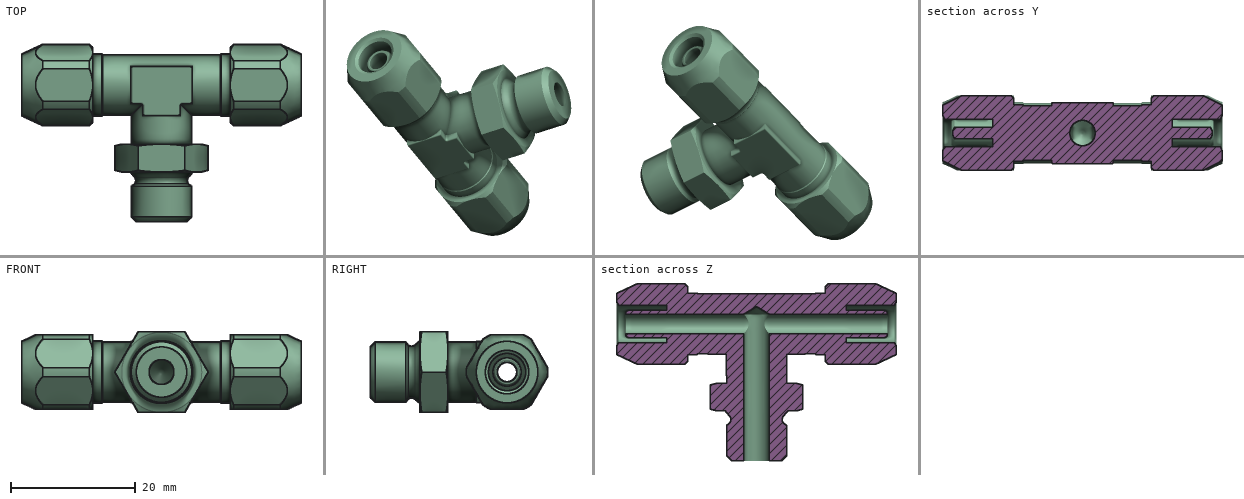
import cadquery as cq
import math


run_length = 45.0
branch_reach = 22.0
body_radius = 4.87

nut_length = 11.45
nut_flats = 12.0
nut_corner_radius = 6.55
nut_mouth_radius = 4.95
nut_cone_angle = 25.0
nut_back_chamfer = nut_corner_radius - nut_flats / 2

collar_length = 1.6
collar_radius = 5.0
collar_chamfer = collar_radius - body_radius

pad_half_height = 4.95
pad_half_width = 4.95
pad_neck_half_width = 3.05
pad_edge_fillet = 0.2
pad_corner_fillet = 0.3

hex_flats = 13.0
hex_back = 9.5
hex_front = 14.0
hex_face_radius = 6.44
hex_chamfer_angle = 15.0

flare_radius = 5.05
undercut_start = 14.84
undercut_end = 15.9
undercut_edge_radius = 4.34
undercut_radius = 4.17
thread_start = 16.3
thread_chamfer = 0.82

socket_radius = 3.0
socket_depth = 8.0
countersink_radius = 3.5
countersink_depth = 0.3
sleeve_setback = 1.45
sleeve_radius = 2.28
sleeve_tip_radius = 1.97
sleeve_taper_length = 0.5
sleeve_tip_fillet = 0.1

run_bore_radius = 1.55
branch_bore_radius = 2.0
drill_point_angle = 118.0


def turned_on_run(profile):
    """Revolve (x, radius) points about the X axis."""
    return cq.Workplane("XY").polyline(profile).close().revolve(360, (0, 0, 0), (1, 0, 0))


def turned_on_branch(profile):
    """Revolve (radius, distance toward -Y) points about the Y axis."""
    points = [(radius, -distance) for radius, distance in profile]
    return cq.Workplane("XY").polyline(points).close().revolve(360, (0, 0, 0), (0, 1, 0))


def hexagon_across_corners(flats):
    return flats / math.cos(math.pi / 6)


def make_nut():
    """Nut at the +X end, with flats facing +Z and -Z."""
    outer_end = run_length / 2
    inner_end = outer_end - nut_length
    cone_length = (nut_corner_radius - nut_mouth_radius) / math.tan(math.radians(nut_cone_angle))
    envelope = turned_on_run([
        (inner_end, 0),
        (inner_end, nut_corner_radius - nut_back_chamfer),
        (inner_end + nut_back_chamfer, nut_corner_radius),
        (outer_end - cone_length, nut_corner_radius),
        (outer_end, nut_mouth_radius),
        (outer_end, 0),
    ])
    prism = (
        cq.Workplane("YZ", origin=(inner_end, 0, 0))
        .polygon(6, hexagon_across_corners(nut_flats))
        .extrude(nut_length)
    )
    return prism.intersect(envelope)


def make_run_tube():
    """Round tube body reaching from nut to nut."""
    tube_length = run_length - 2 * nut_length
    return cq.Workplane("YZ", origin=(-tube_length / 2, 0, 0)).circle(body_radius).extrude(tube_length)


def make_collar():
    """Collar just inside the nut at the +X end."""
    collar_end = run_length / 2 - nut_length
    collar_start = collar_end - collar_length
    return turned_on_run([
        (collar_start, 0),
        (collar_start, body_radius),
        (collar_start + collar_chamfer, collar_radius),
        (collar_end, collar_radius),
        (collar_end, 0),
    ])


def make_pads():
    """T-shaped block whose top and bottom stand proud of the round body."""
    run_arm = cq.Workplane("XY").box(2 * pad_half_width, 2 * pad_neck_half_width, 2 * pad_half_height)
    branch_arm = (
        cq.Workplane("XY")
        .box(2 * pad_neck_half_width, pad_half_width, 2 * pad_half_height)
        .translate((0, -pad_half_width / 2, 0))
    )
    inner_corner = pad_neck_half_width
    pads = run_arm.union(branch_arm)
    for side in (-1, 1):
        corner = cq.selectors.NearestToPointSelector((side * inner_corner, -inner_corner, 0))
        pads = pads.edges("|Z").edges(corner).fillet(pad_corner_fillet)
    return pads.faces("|Z").edges().fillet(pad_edge_fillet)


def make_branch_hexagon():
    """Hexagon with flats facing +Z and -Z and chamfered corners at both ends."""
    corner_radius = hexagon_across_corners(hex_flats) / 2
    chamfer_depth = (corner_radius - hex_face_radius) * math.tan(math.radians(hex_chamfer_angle))
    envelope = turned_on_branch([
        (0, hex_back),
        (hex_face_radius, hex_back),
        (corner_radius, hex_back + chamfer_depth),
        (corner_radius, hex_front - chamfer_depth),
        (hex_face_radius, hex_front),
        (0, hex_front),
    ])
    prism = (
        cq.Workplane("XZ", origin=(0, -hex_back, 0))
        .polygon(6, 2 * corner_radius)
        .extrude(hex_front - hex_back)
    )
    return prism.intersect(envelope)


def make_branch_shank():
    """Round branch from the run axis to the chamfered threaded end."""
    undercut_middle = (undercut_start + undercut_end) / 2
    profile = (
        cq.Workplane("XY")
        .lineTo(body_radius, 0)
        .lineTo(body_radius, -hex_front)
        .lineTo(flare_radius, -hex_front)
        .lineTo(undercut_edge_radius, -undercut_start)
        .threePointArc((undercut_radius, -undercut_middle), (undercut_edge_radius, -undercut_end))
        .lineTo(body_radius, -thread_start)
        .lineTo(body_radius, -branch_reach + thread_chamfer)
        .lineTo(body_radius - thread_chamfer, -branch_reach)
        .lineTo(0, -branch_reach)
        .close()
    )
    return profile.revolve(360, (0, 0, 0), (0, 1, 0))


def make_socket():
    """Ring-shaped cavity of the +X nut, leaving the insert sleeve standing inside."""
    mouth = run_length / 2
    sleeve_tip = mouth - sleeve_setback
    bore = turned_on_run([
        (mouth - socket_depth, 0),
        (mouth - socket_depth, socket_radius),
        (mouth - countersink_depth, socket_radius),
        (mouth, countersink_radius),
        (mouth, 0),
    ])
    sleeve = turned_on_run([
        (mouth - socket_depth, run_bore_radius),
        (mouth - socket_depth, sleeve_radius),
        (sleeve_tip - sleeve_taper_length, sleeve_radius),
        (sleeve_tip, sleeve_tip_radius),
        (sleeve_tip, run_bore_radius),
    ])
    return bore.cut(sleeve.faces(">X").edges().fillet(sleeve_tip_fillet))


def make_run_bore():
    """Straight bore through the whole run and both sleeves."""
    return cq.Workplane("YZ", origin=(-run_length / 2, 0, 0)).circle(run_bore_radius).extrude(run_length)


def make_branch_bore():
    """Drilled hole that crosses the run bore and ends in a drill point."""
    point_length = branch_bore_radius / math.tan(math.radians(drill_point_angle / 2))
    full_radius_end = -run_bore_radius
    return turned_on_branch([
        (0, full_radius_end - point_length),
        (branch_bore_radius, full_radius_end),
        (branch_bore_radius, branch_reach),
        (0, branch_reach),
    ])


def on_both_ends(half):
    return half.union(half.mirror("YZ"))


body = make_run_tube().union(on_both_ends(make_collar().union(make_nut())))
for feature in (make_branch_shank(), make_branch_hexagon(), make_pads()):
    body = body.union(feature)

for cavity in (on_both_ends(make_socket()), make_run_bore(), make_branch_bore()):
    body = body.cut(cavity)

result = body